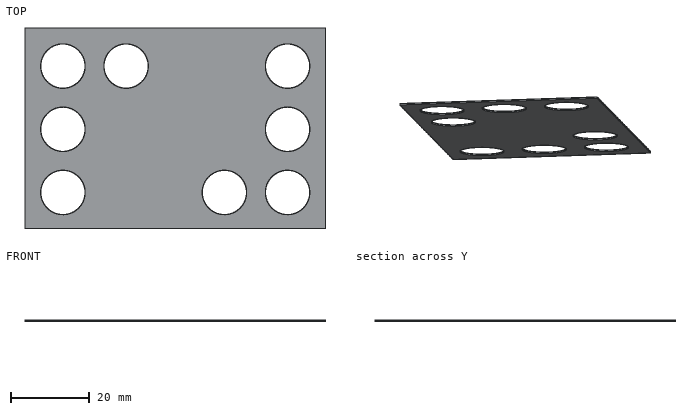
import cadquery as cq

length = 76.2
width = 50.8
thickness = 0.38

hole_diameter = 11.18
hole_pitch = 16.0
column_x = 28.45
middle_row_y = -0.25

top_row_y = middle_row_y + hole_pitch
bottom_row_y = middle_row_y - hole_pitch
extra_hole_x = column_x - hole_pitch

hole_centers = [
    (x, y)
    for x in (-column_x, column_x)
    for y in (bottom_row_y, middle_row_y, top_row_y)
]
hole_centers.append((-extra_hole_x, top_row_y))
hole_centers.append((extra_hole_x, bottom_row_y))

plate = cq.Workplane("XY").box(length, width, thickness)

result = (
    plate.faces(">Z")
    .workplane(origin=(0, 0, 0))
    .pushPoints(hole_centers)
    .hole(hole_diameter)
)